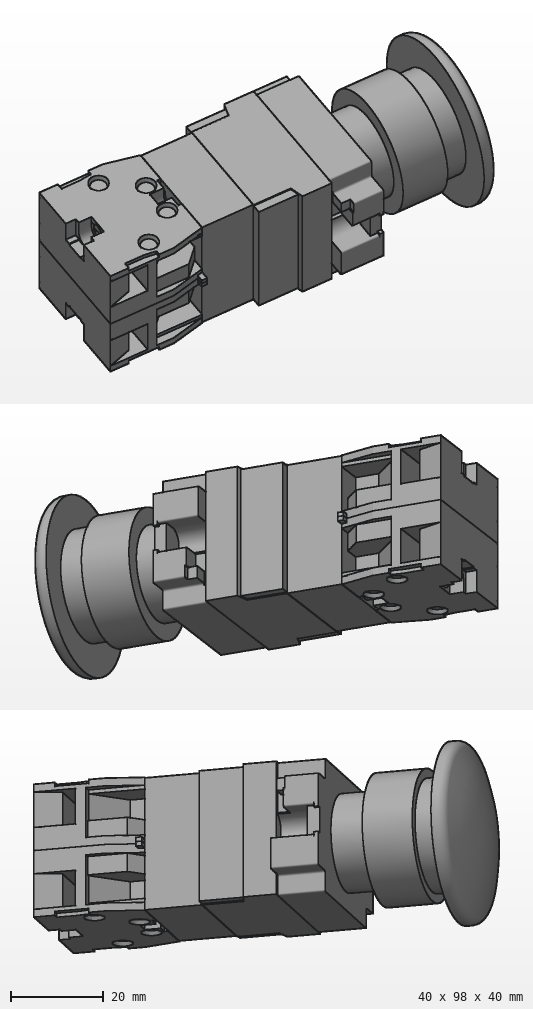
import cadquery as cq
import math


contact_front = 24.4
holder_step = 37.3
clamp_rear = 55.1
clamp_front = 65.8
collar_rear = 74.0
collar_front = 85.3
rim_rear = 91.1
cap_top = 98.0

cap_radius = 20.0
dome_radius = 50.0
rim_fillet = 2.2
neck_radius = 12.5
collar_radius = 14.6
barrel_radius = 10.8

half_height = 14.9

clamp_half_width = 15.0
clamp_edge_fillet = 0.4
lug_reach = 20.0
lug_half_height = 10.3
lug_root_fillet = 0.5
web_reach = 19.0
web_rear = 63.0
lip_rear = 64.8
lip_half_gap = 2.8
groove_radius = 3.3
groove_axis_x = 16.0
lug_cutback = 57.9
stop_reach = 18.5
stop_rear = 56.0
stop_top = 7.5
stop_relief_front = 58.2

holder_half_width = 16.1
shoulder_start = 47.6
shoulder_end = 46.7
holder_waist = 12.7
wing_reach = 14.9
wing_top_step = 0.3
tail_half_width = 12.5
tail_top_step = 0.1

contact_half_width = 14.6
contact_front_half_width = 12.6
taper_start = 16.1
nub_reach = 14.7
nub_length = 1.4
nub_height = 1.0
pocket_rear = 11.8
pocket_bottom = 2.0
pocket_top = 13.1
terminal_top = 6.1
terminal_face = 13.2
terminal_bevel_start = 20.7
cavity_top = 12.25
cavity_slope_end = 18.9
slot_rear = 5.9
slot_front = 9.4
slot_bottom = 5.2
slot_flare = 2.0
edge_recess_depth = 0.9
edge_recess_rear = 4.7
edge_recess_front = 12.3
edge_recess_wide = 13.0
edge_recess_narrow = 13.4
screw_hole_radius = 2.3
screw_floor_radius = 1.9
screw_hole_depth = 1.0
front_screw = (4.3, 20.7)
side_screw = (10.3, 12.3)
channel_axis_z = 12.2
channel_radius = 2.5
channel_front = 5.8
rear_notch_half_width = 3.7
rear_notch_floor = 9.9
rear_notch_front = 2.5
trough_half_width = 2.4
bore_axis_z = 12.5
bore_radius = 1.7
bore_open_rear = 20.0
front_notch_half_width = 4.3
front_notch_depth = 0.9

clearance = 1.0


def box(x_range, y_range, z_range):
    """Axis-aligned box between three pairs of limits."""
    lengths = [high - low for low, high in (x_range, y_range, z_range)]
    corner = (x_range[0], y_range[0], z_range[0])
    return cq.Workplane("XY").box(*lengths, centered=False).translate(corner)


def cylinder_y(radius, y_range, x=0, z=0):
    """Cylinder whose axis is parallel to Y."""
    rear, front = y_range
    return cq.Workplane("XZ", origin=(x, rear, z)).circle(radius).extrude(rear - front)


def prism_z(points, z_range):
    """Polygon in X and Y, raised between two heights."""
    bottom, top = z_range
    return cq.Workplane("XY", origin=(0, 0, bottom)).polyline(points).close().extrude(top - bottom)


def mirrored_x(points):
    """Closed outline from the points of its +X half."""
    return points + [(-x, y) for x, y in reversed(points)]


def both_sides(tool):
    """A tool together with its mirror image across the YZ plane."""
    return tool.union(tool.mirror("YZ"))


def open_channel(radius, axis_z, y_range):
    """Round-bottomed channel along Y, open through the top."""
    walls = box((-radius, radius), y_range, (axis_z, half_height + clearance))
    return cylinder_y(radius, y_range, z=axis_z).union(walls)


def make_cap():
    dome_centre = cap_top - dome_radius
    fillet_centre_r = cap_radius - rim_fillet
    reach = dome_radius - rim_fillet
    fillet_centre_y = dome_centre + math.sqrt(reach**2 - fillet_centre_r**2)
    blend_angle = math.atan2(fillet_centre_y - dome_centre, fillet_centre_r)
    blend = (dome_radius * math.cos(blend_angle), dome_centre + dome_radius * math.sin(blend_angle))
    middle_angle = (blend_angle + math.pi / 2) / 2
    dome_middle = (
        dome_radius * math.cos(middle_angle),
        dome_centre + dome_radius * math.sin(middle_angle),
    )
    return (
        cq.Workplane("ZY")
        .moveTo(0, collar_front)
        .lineTo(neck_radius, collar_front)
        .lineTo(neck_radius, rim_rear)
        .lineTo(cap_radius, rim_rear)
        .lineTo(cap_radius, fillet_centre_y)
        .tangentArcPoint(blend, relative=False)
        .threePointArc(dome_middle, (0, cap_top))
        .close()
        .revolve(360, (0, 0, 0), (0, 1, 0))
    )


def make_bezel():
    collar = cylinder_y(collar_radius, (collar_rear, collar_front))
    return collar.union(cylinder_y(barrel_radius, (clamp_front, collar_rear)))


def clamp_blank():
    y_range = (clamp_rear, clamp_front)
    body = box((-clamp_half_width, clamp_half_width), y_range, (-half_height, half_height))
    body = body.edges("|Y").fillet(clamp_edge_fillet)
    lugs = box((-lug_reach, lug_reach), y_range, (-lug_half_height, lug_half_height))
    lugs = lugs.edges("|Y").fillet(clamp_edge_fillet)
    root_box = cq.selectors.BoxSelector(
        (-clamp_half_width - clearance, clamp_rear, -lug_half_height - clearance),
        (clamp_half_width + clearance, clamp_front, lug_half_height + clearance),
    )
    return body.union(lugs).edges("|Y").edges(root_box).fillet(lug_root_fillet)


def lug_cut():
    """Everything removed from the -X lug."""
    outside = -lug_reach - clearance
    lip_gap = box((outside, -web_reach), (lip_rear, clamp_front), (-lip_half_gap, lip_half_gap))
    web_gap = box((outside, -web_reach), (web_rear, lip_rear), (-groove_radius, groove_radius))
    groove_range = (clamp_rear, web_rear)
    groove_mouth = box((outside, -groove_axis_x), groove_range, (-groove_radius, groove_radius))
    groove_floor = cylinder_y(groove_radius, groove_range, x=-groove_axis_x)
    cutback = box(
        (outside, -clamp_half_width),
        (clamp_rear, lug_cutback),
        (-lug_half_height - clearance, -groove_radius),
    )
    stop = box(
        (-stop_reach, -clamp_half_width),
        (stop_rear, lug_cutback),
        (-lug_half_height - clearance, -stop_top),
    )
    relief = box(
        (outside, -stop_reach),
        (clamp_rear, stop_relief_front),
        (-lug_half_height - clearance, -stop_top),
    )
    tool = lip_gap.union(web_gap).union(groove_mouth).union(groove_floor)
    return tool.union(cutback.cut(stop)).union(relief)


def groove_edges(side):
    """Selects the outer edges of one lug along its groove; side is -1 or 1."""
    reach = side * lug_reach
    return cq.selectors.BoxSelector(
        (reach - clearance / 2, clamp_rear, -groove_radius - clearance / 2),
        (reach + clearance / 2, lip_rear, groove_radius + clearance / 2),
    )


def make_clamp():
    left_cut = lug_cut()
    right_cut = left_cut.rotate((0, 0, 0), (0, 1, 0), 180)
    clamp = clamp_blank().cut(left_cut).cut(right_cut)
    for side in (-1, 1):
        clamp = clamp.edges("|Y").edges(groove_edges(side)).fillet(clamp_edge_fillet)
    return clamp


def make_holder():
    outline = mirrored_x([
        (holder_waist, holder_step),
        (holder_waist, shoulder_end),
        (holder_half_width, shoulder_start),
        (holder_half_width, clamp_rear),
    ])
    body = prism_z(outline, (-half_height, half_height))
    wing_height = half_height - wing_top_step
    wings = box((-wing_reach, wing_reach), (holder_step, shoulder_start), (-wing_height, wing_height))
    tail_height = half_height - tail_top_step
    tail = box(
        (-tail_half_width, tail_half_width),
        (contact_front, holder_step),
        (-tail_height, tail_height),
    )
    return body.union(wings).union(tail)


def contact_blank():
    outline = mirrored_x([
        (contact_half_width, 0),
        (contact_half_width, taper_start),
        (contact_front_half_width, contact_front),
    ])
    nubs = box((-nub_reach, nub_reach), (contact_front - nub_length, contact_front), (0, nub_height))
    return prism_z(outline, (0, half_height)).union(nubs)


def terminal_pockets():
    """Side pockets with a 45 degree cavity above a bevelled terminal."""
    outside = contact_half_width + clearance
    front = contact_front
    recess = box((contact_front_half_width, outside), (pocket_rear, front), (terminal_top, pocket_top))
    cavity_wall_x = contact_front_half_width - (cavity_slope_end - pocket_rear)
    cavity = prism_z(
        [
            (outside, pocket_rear),
            (contact_front_half_width, pocket_rear),
            (cavity_wall_x, cavity_slope_end),
            (cavity_wall_x, front),
            (outside, front),
        ],
        (terminal_top, cavity_top),
    )
    bevel_end_x = terminal_face - (front - terminal_bevel_start)
    terminal_clearance = prism_z(
        [
            (outside, pocket_rear),
            (terminal_face, pocket_rear),
            (terminal_face, terminal_bevel_start),
            (bevel_end_x, front),
            (outside, front),
        ],
        (pocket_bottom, terminal_top),
    )
    return both_sides(recess.union(cavity).union(terminal_clearance))


def cross_slot():
    """Slot through the full width, flared towards the rear on both sides."""
    throat = contact_half_width - slot_flare
    outside = contact_half_width + clearance
    outline = [
        (throat, slot_rear),
        (contact_half_width, 0),
        (outside, 0),
        (outside, slot_front),
    ]
    return prism_z(mirrored_x(outline), (slot_bottom, pocket_top))


def edge_recesses():
    """Shallow finger recesses along the outer top edges."""
    outside = contact_half_width + clearance
    points = [
        (outside, edge_recess_rear),
        (edge_recess_wide, edge_recess_rear),
        (edge_recess_wide, slot_front),
        (edge_recess_narrow, edge_recess_front),
        (outside, edge_recess_front),
    ]
    return both_sides(prism_z(points, (half_height - edge_recess_depth, half_height + clearance)))


def screw_holes():
    """Conical screw recesses in the top face."""
    centres = [(side * x, y) for x, y in (front_screw, side_screw) for side in (-1, 1)]
    taper = math.degrees(math.atan((screw_hole_radius - screw_floor_radius) / screw_hole_depth))
    return (
        cq.Workplane("XY", origin=(0, 0, half_height))
        .pushPoints(centres)
        .circle(screw_hole_radius)
        .extrude(-screw_hole_depth, taper=taper)
    )


def screw_channel():
    """Fixing-screw bore along Y, opening into the top at both ends."""
    notch_range = (0, rear_notch_front)
    rear_notch = box(
        (-rear_notch_half_width, rear_notch_half_width), notch_range, (rear_notch_floor, half_height)
    )
    trough_floor = channel_axis_z - channel_radius
    rear_trough = box(
        (-trough_half_width, trough_half_width), notch_range, (trough_floor, half_height)
    )
    rear_channel = open_channel(channel_radius, channel_axis_z, (0, channel_front))
    bore = cylinder_y(bore_radius, (0, contact_front), z=bore_axis_z)
    front_channel = open_channel(bore_radius, bore_axis_z, (bore_open_rear, contact_front))
    front_range = (contact_front - front_notch_depth, contact_front)
    front_notch = box(
        (-front_notch_half_width, front_notch_half_width), front_range, (bore_axis_z, half_height)
    )
    front_seat = open_channel(channel_radius, channel_axis_z, front_range)
    tool = rear_notch.union(rear_trough).union(rear_channel).union(bore)
    return tool.union(front_channel).union(front_notch).union(front_seat)


def make_contact():
    contact = contact_blank()
    for tool in (terminal_pockets(), cross_slot(), edge_recesses(), screw_holes(), screw_channel()):
        contact = contact.cut(tool)
    return contact


cap = make_cap()
bezel = make_bezel()
clamp = make_clamp()
holder = make_holder()
upper_contact = make_contact()
contacts = [upper_contact, upper_contact.mirror("XY")]

result = cq.Compound.makeCompound(
    [cap.val(), bezel.val(), clamp.val(), holder.val(), *[contact.val() for contact in contacts]]
)